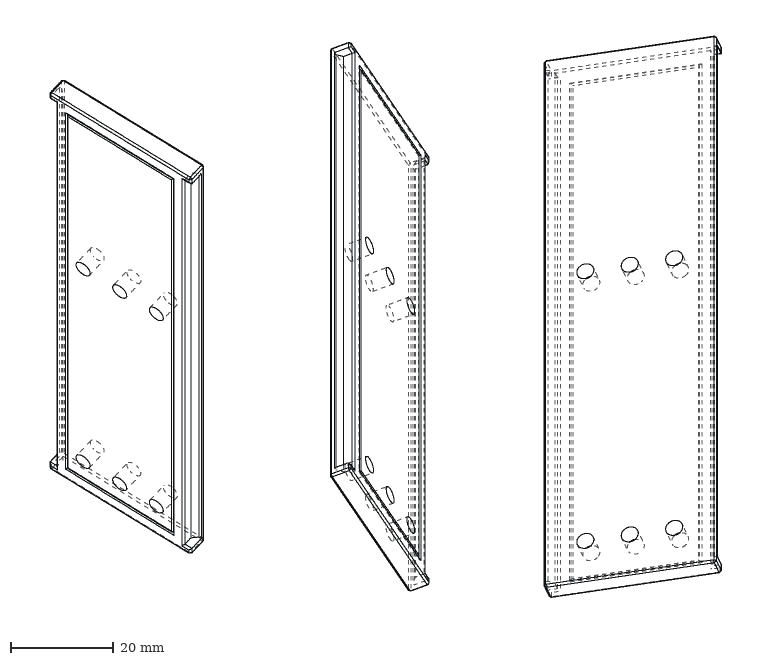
import cadquery as cq

width = 35.0
thickness = 4.6
height = 123.5
edge_chamfer = 0.43
front_y = -thickness / 2
back_y = thickness / 2

rebate_depth = 1.7
end_block_height = 1.9
rebate_half_length = height / 2 - end_block_height
lip_thickness = 1.1
lip_width = 0.6
slope_run = rebate_depth - lip_width

groove_outer_width = 26.8
groove_outer_height = 117.0
groove_width = 0.68
groove_depth = groove_width / 2

hole_diameter = 3.5
hole_spacing = 9.0
hole_row_heights = (10.7, -52.5)


def plate():
    return cq.Workplane("XY").box(width, thickness, height).edges().chamfer(edge_chamfer)


def right_rebate():
    """Cutter leaving a thin back lip, a 45 degree slope and a chamfered rim."""
    side_x = width / 2
    wall_x = side_x - rebate_depth
    lip_y = back_y - lip_thickness
    channel = (
        cq.Workplane("XY", origin=(0, 0, -rebate_half_length))
        .moveTo(side_x + edge_chamfer, lip_y)
        .lineTo(side_x - lip_width, lip_y)
        .lineTo(wall_x, lip_y - slope_run)
        .lineTo(wall_x, front_y)
        .lineTo(side_x + edge_chamfer, front_y)
        .close()
        .extrude(2 * rebate_half_length)
    )
    mouth_width = 2 * (rebate_depth + edge_chamfer)
    mouth_height = 2 * (rebate_half_length + edge_chamfer)
    rim = (
        cq.Workplane("XZ", origin=(side_x, front_y, 0))
        .rect(mouth_width, mouth_height)
        .workplane(offset=-edge_chamfer)
        .rect(mouth_width - 2 * edge_chamfer, mouth_height - 2 * edge_chamfer)
        .loft(ruled=True)
    )
    return channel.union(rim)


def tapered_block(block_width, block_height, taper):
    """Block sunk into the front face; taper widens (+) or narrows (-) it inward."""
    return (
        cq.Workplane("XZ", origin=(0, front_y, 0))
        .rect(block_width, block_height)
        .workplane(offset=-groove_depth)
        .rect(block_width + 2 * taper, block_height + 2 * taper)
        .loft(ruled=True)
    )


def frame_groove():
    outer = tapered_block(groove_outer_width, groove_outer_height, -groove_depth)
    inner_width = groove_outer_width - 2 * groove_width
    inner_height = groove_outer_height - 2 * groove_width
    inner = tapered_block(inner_width, inner_height, groove_depth)
    return outer.cut(inner)


def holes():
    centers = [(column * hole_spacing, z) for z in hole_row_heights for column in (-1, 0, 1)]
    return (
        cq.Workplane("XZ")
        .pushPoints(centers)
        .circle(hole_diameter / 2)
        .extrude(thickness, both=True)
    )


rebate = right_rebate()
result = plate().cut(rebate).cut(rebate.mirror("YZ")).cut(frame_groove()).cut(holes())